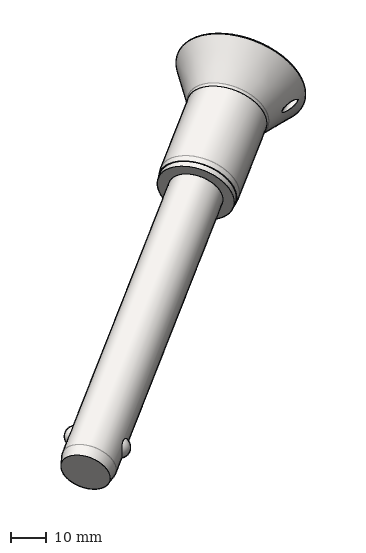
import cadquery as cq


shank_diameter = 16.0
shank_length = 104.0
tip_diameter = 14.5
tip_taper_length = 3.3

grip_diameter = 23.4
nose_diameter = 22.6
nose_length = 1.8
nose_taper_length = 1.8
nose_taper_end_diameter = 23.0
flare_start = 29.5
flare_blend_length = 0.9
flare_blend_radial_rise = 0.3
flange_diameter = 38.0
rim_radius = 0.6
handle_length = 43.1

keyring_hole_diameter = 3.0
keyring_hole_offset = 16.0

ball_diameter = 6.2
span_over_balls = 19.2
ball_distance_from_tip = 11.3


def pin_body():
    """Revolve the half profile of handle and shank about the Y axis."""
    shank_radius = shank_diameter / 2
    tip_radius = tip_diameter / 2
    grip_radius = grip_diameter / 2
    nose_taper_end_radius = nose_taper_end_diameter / 2
    nose_radius = nose_diameter / 2
    flange_radius = flange_diameter / 2
    flare_radius = grip_radius + flare_blend_radial_rise
    profile = (
        cq.Workplane("XY")
        .moveTo(0, -shank_length)
        .lineTo(tip_radius, -shank_length)
        .lineTo(shank_radius, -shank_length + tip_taper_length)
        .lineTo(shank_radius, 0)
        .lineTo(nose_radius, 0)
        .lineTo(nose_radius, nose_length)
        .lineTo(nose_taper_end_radius, nose_length)
        .lineTo(grip_radius, nose_length + nose_taper_length)
        .lineTo(grip_radius, flare_start)
        .lineTo(flare_radius, flare_start + flare_blend_length)
        .lineTo(flange_radius, handle_length - rim_radius)
        .radiusArc((flange_radius - rim_radius, handle_length), -rim_radius)
        .lineTo(0, handle_length)
        .close()
    )
    return profile.revolve(360, (0, 0, 0), (0, 1, 0))


def locking_ball(side):
    """Ball on the +X (side = 1) or -X (side = -1) flank of the shank."""
    center_x = side * (span_over_balls - ball_diameter) / 2
    center_y = ball_distance_from_tip - shank_length
    return cq.Workplane("XY").sphere(ball_diameter / 2).translate((center_x, center_y, 0))


def keyring_hole():
    """Drill along Y through the outer part of the flange."""
    return (
        cq.Workplane("XZ")
        .center(keyring_hole_offset, 0)
        .circle(keyring_hole_diameter / 2)
        .extrude(-handle_length)
    )


result = pin_body()
for side in (-1, 1):
    result = result.union(locking_ball(side))
result = result.cut(keyring_hole())